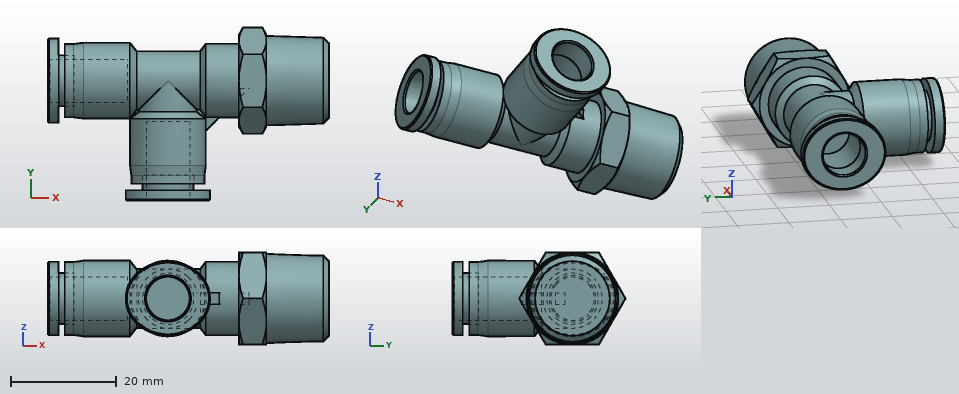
import cadquery as cq
import math

overall_length = 53.2
port_reach = 22.7

tube_diameter = 11.2
port_diameter = 14.4
port_mouth_diameter = 13.9
cone_start = 5.93
port_start = port_diameter / 2
taper_start = 16.05
mouth_start = 17.95
mouth_end = 19.55

button_length = 16.0
button_width = 14.0
flange_thickness = 2.0
flange_chamfer = 0.25
sleeve_diameter = 9.7
bore_diameter = 8.2
bore_lead_in = 0.3
sleeve_end_depth = 4.9
tube_stop_depth = 15.0

shoulder_diameter = 14.0
shoulder_start = 6.1
shoulder_cone_length = 1.1
hex_start = 13.45

web_thickness = 2.1
web_offset = 16.7
web_root = 1.4

hex_flats = 17.46
hex_corners = hex_flats / math.cos(math.pi / 6)
hex_thickness = 5.2
hex_chamfer_angle = 30
hex_end = hex_start + hex_thickness
stud_end = overall_length - port_reach
thread_base_diameter = 17.0
thread_taper = 1 / 16
thread_chamfer = 1.1


def revolve_about_x(profile_points):
    """Solid of revolution about X from (x, radius) points that run between two ends on the axis."""
    return cq.Workplane("XY").polyline(profile_points).close().revolve(360, (0, 0), (1, 0))


def rotate_to_port(body, angle):
    """Turn a body built along +X about Z onto its port axis."""
    return body.rotate((0, 0, 0), (0, 0, 1), angle)


def port_outline():
    """(x, radius) points of one port along +X, from its cone to the axis at its mouth."""
    return [
        (cone_start, tube_diameter / 2),
        (port_start, port_diameter / 2),
        (taper_start, port_diameter / 2),
        (mouth_start, port_mouth_diameter / 2),
        (mouth_end, port_mouth_diameter / 2),
        (mouth_end, 0),
    ]


def make_branch():
    """Branch tube and its port along +X, solid, starting at the axis crossing."""
    return revolve_about_x([(0, 0), (0, tube_diameter / 2), *port_outline()])


def make_run():
    """Run of the tee, solid: a port toward -X and the conical-ended shoulder toward +X."""
    mirrored_port = []
    for x, radius in reversed(port_outline()):
        mirrored_port.append((-x, radius))
    return revolve_about_x([
        *mirrored_port,
        (shoulder_start, tube_diameter / 2),
        (shoulder_start + shoulder_cone_length, shoulder_diameter / 2),
        (hex_start, shoulder_diameter / 2),
        (hex_start, 0),
    ])


def make_sleeve_blank():
    """Plain cylinder along +X that fills the pocket of a port: the sleeve before it is bored."""
    base = cq.Workplane("YZ", origin=(port_reach - sleeve_end_depth, 0, 0))
    return base.circle(sleeve_diameter / 2).extrude(sleeve_end_depth - flange_thickness)


def make_tube_bore():
    """Blind tube bore along +X that continues the button's bore down to the tube stop."""
    bore = cq.Workplane("YZ", origin=(port_reach - tube_stop_depth, 0, 0)).circle(bore_diameter / 2)
    return bore.extrude(tube_stop_depth)


def make_web():
    """Thin triangular web in the corner between the branch and the shoulder."""
    web = cq.Workplane("XY").polyline([
        (web_root, -web_root),
        (web_offset - web_root, -web_root),
        (web_root, web_root - web_offset),
    ])
    return web.close().extrude(web_thickness / 2, both=True)


def make_button():
    """Release button along +X: an oval flange on a round sleeve, bored through."""
    flange = (
        cq.Workplane("YZ", origin=(port_reach - flange_thickness, 0, 0))
        .ellipse(button_length / 2, button_width / 2)
        .extrude(flange_thickness)
        .faces(">X").chamfer(flange_chamfer)
    )
    bore = revolve_about_x([
        (port_reach - sleeve_end_depth, 0),
        (port_reach - sleeve_end_depth, bore_diameter / 2),
        (port_reach - bore_lead_in, bore_diameter / 2),
        (port_reach, bore_diameter / 2 + bore_lead_in),
        (port_reach, 0),
    ])
    return flange.union(make_sleeve_blank()).cut(bore)


def make_stud():
    """Hexagon, chamfered at both faces, with the tapered thread blank beyond it."""
    hexagon = cq.Workplane("YZ", origin=(hex_start, 0, 0)).polygon(6, hex_corners).extrude(hex_thickness)
    corner_height = (hex_corners - hex_flats) / 2
    corner_chamfer = corner_height * math.tan(math.radians(hex_chamfer_angle))
    corner_envelope = revolve_about_x([
        (hex_start, 0),
        (hex_start, hex_flats / 2),
        (hex_start + corner_chamfer, hex_corners / 2),
        (hex_end - corner_chamfer, hex_corners / 2),
        (hex_end, hex_flats / 2),
        (hex_end, 0),
    ])
    chamfer_start = stud_end - thread_chamfer
    thread_tip_diameter = thread_base_diameter - thread_taper * (chamfer_start - hex_end)
    thread = revolve_about_x([
        (hex_end, 0),
        (hex_end, thread_base_diameter / 2),
        (chamfer_start, thread_tip_diameter / 2),
        (stud_end, thread_tip_diameter / 2 - thread_chamfer),
        (stud_end, 0),
    ])
    return hexagon.intersect(corner_envelope).union(thread)


run_angle = 180
branch_angle = -90
port_angles = [run_angle, branch_angle]

tee = make_run().union(rotate_to_port(make_branch(), branch_angle)).union(make_web())
for angle in port_angles:
    tee = tee.cut(rotate_to_port(make_sleeve_blank(), angle))
    tee = tee.cut(rotate_to_port(make_tube_bore(), angle))

buttons = []
for angle in port_angles:
    buttons.append(rotate_to_port(make_button(), angle).val())

stud = make_stud()

result = cq.Compound.makeCompound([tee.val(), *buttons, stud.val()])